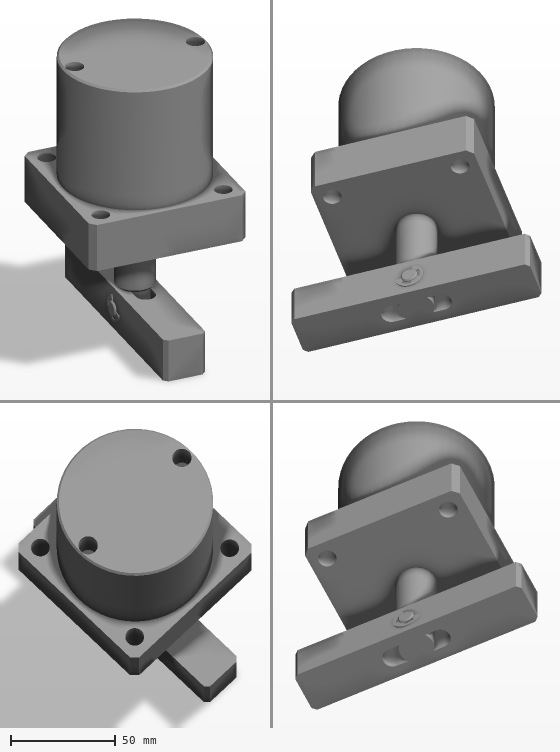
import cadquery as cq
import math

TOTAL_HEIGHT = 146.5
ARM_HEIGHT = 22.1
FLANGE_BOTTOM = 56.8
FLANGE_THICKNESS = 24.9
FLANGE_TOP = FLANGE_BOTTOM + FLANGE_THICKNESS

FLANGE_SIDE = 82.0
FLANGE_CORNER_CHAMFER = 3.1
MOUNT_HOLE_SPACING = 64.2
MOUNT_HOLE_DIAMETER = 9.0
BARREL_DIAMETER = 75.0
BARREL_EDGE_CHAMFER = 1.0
PORT_OFFSET = 31.6
PORT_TOP_DIAMETER = 9.2
PORT_DEPTH = 17.6
PORT_TAPER = 1 / 16
PORT_BOTTOM_DIAMETER = PORT_TOP_DIAMETER - PORT_TAPER * PORT_DEPTH

ARM_LENGTH = 120.0
ARM_WIDTH = 22.0
ARM_CORNER_CHAMFER = 2.0
SLOT_LENGTH = 35.2
SLOT_WIDTH = 10.0

ROD_DIAMETER = 20.0
ROD_CHAMFER = 1.5
TONGUE_WIDTH = SLOT_WIDTH
TONGUE_DIAMETER = ROD_DIAMETER - 2 * ROD_CHAMFER

PIN_DIAMETER = 8.0
PIN_LENGTH = 24.9
PIN_CHAMFER = 0.6
PIN_HEIGHT = ARM_HEIGHT / 2
GROOVE_DIAMETER = 6.5

CLIP_THICKNESS = 0.6
CLIP_OUTER_RADIUS = 7.0
CLIP_POCKET_RADIUS = 5.5
CLIP_MOUTH_DIRECTION = 48.0
CLIP_MOUTH_HALF_ANGLE = 57.0
CLIP_POCKET_START = 93.0
CLIP_POCKET_END = 149.0


def make_port_cavity(port_y):
    """Blind port in the top face, tapering slightly with depth."""
    cone = cq.Solid.makeCone(
        PORT_TOP_DIAMETER / 2,
        PORT_BOTTOM_DIAMETER / 2,
        PORT_DEPTH,
        pnt=cq.Vector(0, port_y, TOTAL_HEIGHT),
        dir=cq.Vector(0, 0, -1),
    )
    return cq.Workplane(cone)


def make_housing():
    flange = (
        cq.Workplane("XY", origin=(0, 0, FLANGE_BOTTOM))
        .rect(FLANGE_SIDE, FLANGE_SIDE)
        .extrude(FLANGE_THICKNESS)
        .edges("|Z")
        .chamfer(FLANGE_CORNER_CHAMFER)
    )
    barrel = (
        cq.Workplane("XY", origin=(0, 0, FLANGE_TOP))
        .circle(BARREL_DIAMETER / 2)
        .extrude(TOTAL_HEIGHT - FLANGE_TOP)
        .faces(">Z")
        .edges()
        .chamfer(BARREL_EDGE_CHAMFER)
    )
    mount_holes = (
        cq.Workplane("XY", origin=(0, 0, FLANGE_BOTTOM))
        .rect(MOUNT_HOLE_SPACING, MOUNT_HOLE_SPACING, forConstruction=True)
        .vertices()
        .circle(MOUNT_HOLE_DIAMETER / 2)
        .extrude(FLANGE_THICKNESS)
    )
    housing = flange.union(barrel).cut(mount_holes)
    for port_y in (-PORT_OFFSET, PORT_OFFSET):
        housing = housing.cut(make_port_cavity(port_y))
    return housing


def cylinder_along_y(diameter, length):
    """Cylinder on the pin axis, centred on the arm's middle plane."""
    return (
        cq.Workplane("XZ", origin=(0, 0, PIN_HEIGHT))
        .circle(diameter / 2)
        .extrude(length / 2, both=True)
    )


def make_arm():
    bar = (
        cq.Workplane("XY")
        .rect(ARM_LENGTH, ARM_WIDTH)
        .extrude(ARM_HEIGHT)
        .edges("|Z")
        .chamfer(ARM_CORNER_CHAMFER)
    )
    slot = cq.Workplane("XY").slot2D(SLOT_LENGTH, SLOT_WIDTH).extrude(ARM_HEIGHT)
    return bar.cut(slot).cut(cylinder_along_y(PIN_DIAMETER, ARM_WIDTH))


def make_rod():
    shaft = (
        cq.Workplane("XY", origin=(0, 0, ARM_HEIGHT))
        .circle(ROD_DIAMETER / 2)
        .extrude(FLANGE_BOTTOM - ARM_HEIGHT)
        .faces("<Z")
        .edges()
        .chamfer(ROD_CHAMFER)
    )
    tongue = (
        cq.Workplane("XY")
        .circle(TONGUE_DIAMETER / 2)
        .extrude(ARM_HEIGHT)
        .intersect(cq.Workplane("XY").rect(TONGUE_DIAMETER, TONGUE_WIDTH).extrude(ARM_HEIGHT))
    )
    return shaft.union(tongue).cut(cylinder_along_y(PIN_DIAMETER, ARM_WIDTH))


def make_pin():
    pin = cylinder_along_y(PIN_DIAMETER, PIN_LENGTH).faces("<Y or >Y").edges().chamfer(PIN_CHAMFER)
    grooves = cylinder_along_y(PIN_DIAMETER, ARM_WIDTH + 2 * CLIP_THICKNESS)
    grooves = grooves.cut(cylinder_along_y(PIN_DIAMETER, ARM_WIDTH))
    grooves = grooves.cut(cylinder_along_y(GROOVE_DIAMETER, PIN_LENGTH))
    return pin.cut(grooves)


def polar(radius, angle):
    radians = math.radians(angle)
    return (radius * math.cos(radians), radius * math.sin(radians))


def ring_sector(plane, inner_radius, outer_radius, start, end):
    """Flat piece of a ring between two angles, one clip thickness deep."""
    middle = (start + end) / 2
    return (
        plane.moveTo(*polar(inner_radius, start))
        .lineTo(*polar(outer_radius, start))
        .threePointArc(polar(outer_radius, middle), polar(outer_radius, end))
        .lineTo(*polar(inner_radius, end))
        .threePointArc(polar(inner_radius, middle), polar(inner_radius, start))
        .close()
        .extrude(CLIP_THICKNESS)
    )


def make_clip(plus_y_face):
    """E-shaped clip with three teeth in the pin groove, extending from its +Y face toward -Y."""
    plane = cq.Workplane("XZ", origin=(0, plus_y_face, PIN_HEIGHT))
    groove_radius = GROOVE_DIAMETER / 2
    clip = ring_sector(
        plane,
        groove_radius,
        CLIP_OUTER_RADIUS,
        CLIP_MOUTH_DIRECTION + CLIP_MOUTH_HALF_ANGLE,
        CLIP_MOUTH_DIRECTION + 360 - CLIP_MOUTH_HALF_ANGLE,
    )
    for side in (-1, 1):
        pocket_angles = sorted(
            CLIP_MOUTH_DIRECTION + side * angle for angle in (CLIP_POCKET_START, CLIP_POCKET_END)
        )
        clip = clip.cut(ring_sector(plane, groove_radius, CLIP_POCKET_RADIUS, *pocket_angles))
    return clip


housing = make_housing()
arm = make_arm()
rod = make_rod()
pin = make_pin()
clips = [make_clip(y) for y in (-ARM_WIDTH / 2, ARM_WIDTH / 2 + CLIP_THICKNESS)]

result = cq.Compound.makeCompound(
    [housing.val(), rod.val(), arm.val(), pin.val(), *[clip.val() for clip in clips]]
)